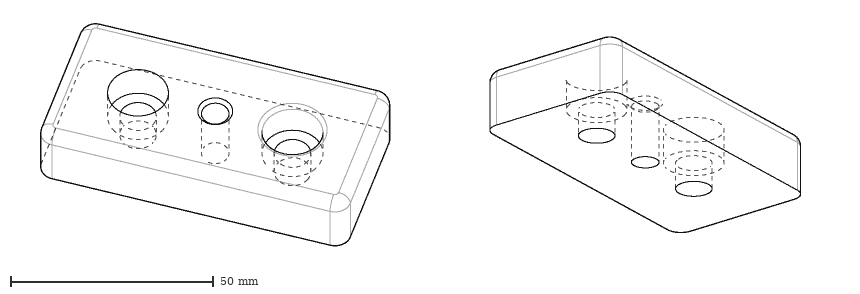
import cadquery as cq

length = 80.0
width = length / 2
height = length / 5
corner_radius = 4.0
top_fillet = 3.0

bolt_offset = length / 4
bolt_diameter = 9.0
counterbore_diameter = 15.0
counterbore_depth = 9.0
rim_fillet = 1.0

center_diameter = 6.8
center_mouth_diameter = 8.6
center_chamfer = (center_mouth_diameter - center_diameter) / 2


def make_block():
    """Rounded block standing on Z = 0, with its bottom edges left sharp."""
    block = cq.Workplane("XY").box(length, width, height, centered=(True, True, False))
    return block.edges("|Z").fillet(corner_radius).faces(">Z").edges().fillet(top_fillet)


def cut_bolt_hole(body, x):
    """Counterbored through hole, entered from the top face."""
    top = body.faces(">Z").workplane(origin=(x, 0, height))
    return top.cboreHole(bolt_diameter, counterbore_diameter, counterbore_depth)


def round_counterbore_mouth(body, x):
    """Round the top edge of the counterbore centred at x."""
    reach = counterbore_diameter / 2 + rim_fillet
    mouth = cq.selectors.BoxSelector(
        (x - reach, -reach, height - rim_fillet / 2),
        (x + reach, reach, height + rim_fillet / 2),
    )
    return body.edges(mouth).fillet(rim_fillet)


def cut_center_hole(body):
    """Through hole whose mouth is a 45 degree countersink."""
    top = body.faces(">Z").workplane(origin=(0, 0, height))
    drilled = top.hole(center_diameter)
    reach = center_mouth_diameter / 2
    mouth = cq.selectors.BoxSelector(
        (-reach, -reach, height - center_chamfer / 2),
        (reach, reach, height + center_chamfer / 2),
    )
    return drilled.edges(mouth).chamfer(center_chamfer)


result = make_block()
for bolt_x in (-bolt_offset, bolt_offset):
    result = cut_bolt_hole(result, bolt_x)
result = round_counterbore_mouth(result, bolt_offset)
result = cut_center_hole(result)